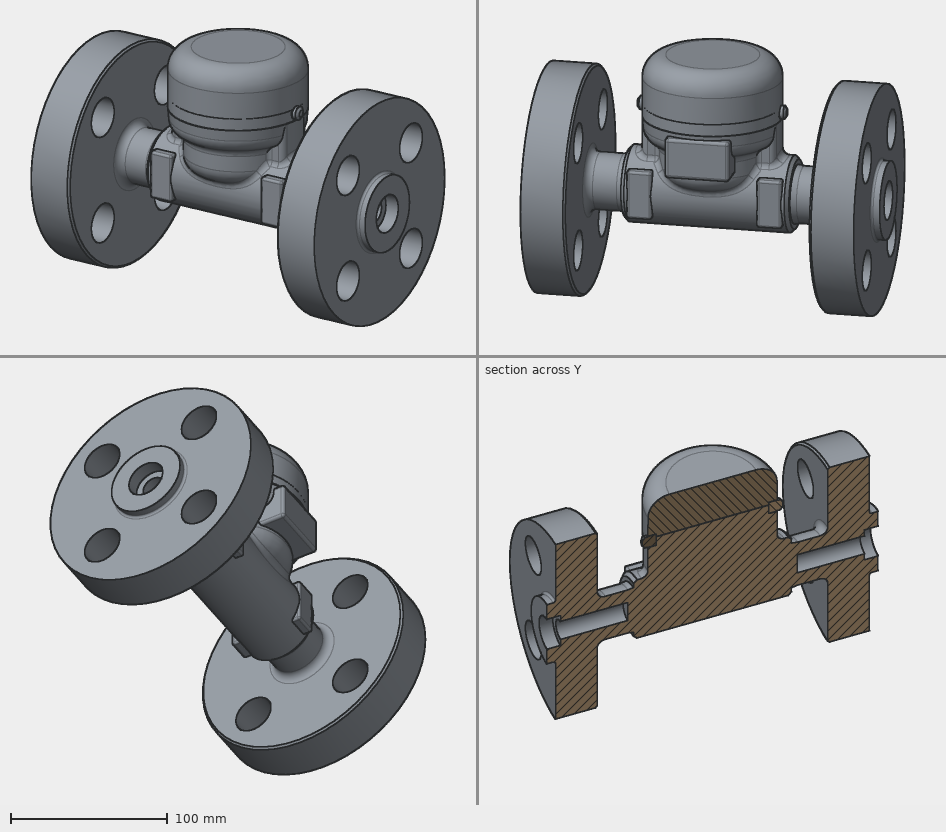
import cadquery as cq
import math

LENGTH = 230.0

FLANGE_DIAMETER = 149.0
FLANGE_OUTER_FACE = 109.0
FLANGE_INNER_FACE = 79.8
FLANGE_EDGE_CHAMFER = 1.4
RAISED_FACE_DIAMETER = 50.8
RAISED_FACE_ROOT = 1.5
BOLT_HOLE_DIAMETER = 26.0
BOLT_CIRCLE_DIAMETER = 101.7
BOLT_COUNT = 4

PIPE_DIAMETER = 37.0
PIPE_FLANGE_FILLET = 5.3
STUB_START = 58.9
STUB_DIAMETER = 38.5
PORT_DIAMETER = 25.0
PORT_DEPTH = 9.5
BORE_DIAMETER = 15.0

BARREL_DIAMETER = 50.0
BARREL_LENGTH = 110.0
BARREL_CHAMFER = 2.5

COVER_DIAMETER = 90.0
COVER_TOP = 90.0
COVER_EDGE_RADIUS = 15.0
JOINT_HEIGHT = 49.2

BOWL_DIAMETER = 88.5
SPIGOT_TOP = 57.0
RIM_BOTTOM = 42.0
BOWL_RADIUS = 9.7
NECK_DIAMETER = 70.0
NECK_TOP = 28.0
NECK_BOTTOM = 17.7
NECK_END_RADIUS = 11.5

COLUMN_WIDTH = 25.8
COLUMN_CORNER_RADIUS = 4.1
COLUMN_NECK_FILLET = 3.5
ROOT_FILLET = 4.5

PAD_CENTRE_X = 42.5
PAD_WIDTH = 16.3
PAD_HEIGHT = 31.7
PAD_FACE_Y = 25.3
PAD_EDGE_FILLET = 1.5

PLATE_WIDTH = 41.9
PLATE_FACE_Y = 46.5
PLATE_BOTTOM = 20.0
PLATE_TOP = 46.5
PLATE_EDGE_FILLET = 2.0

SCREW_DIAMETER = 9.0
SCREW_TIP_DIAMETER = 4.5
SCREW_HEIGHT = 54.3
SCREW_END_X = 48.8
SCREW_TAPER = 1.5
SCREW_INNER_X = 39.0


def along_x(diameter, start, end):
    """Cylinder on the pipe axis."""
    return cq.Workplane("YZ").workplane(offset=start).circle(diameter / 2).extrude(end - start)


def make_pipe_end():
    """Flange, pipe and stub on the +X side, revolved about the pipe axis."""
    pipe_radius = PIPE_DIAMETER / 2
    flange_radius = FLANGE_DIAMETER / 2
    face_radius = RAISED_FACE_DIAMETER / 2
    barrel_end = BARREL_LENGTH / 2
    arc_middle = 1 - math.sqrt(0.5)
    profile = (
        cq.Workplane("XY")
        .moveTo(barrel_end - BARREL_CHAMFER, 0)
        .lineTo(barrel_end - BARREL_CHAMFER, STUB_DIAMETER / 2)
        .lineTo(barrel_end, STUB_DIAMETER / 2)
        .lineTo(STUB_START, pipe_radius)
        .lineTo(FLANGE_INNER_FACE - PIPE_FLANGE_FILLET, pipe_radius)
        .threePointArc(
            (
                FLANGE_INNER_FACE - PIPE_FLANGE_FILLET * arc_middle,
                pipe_radius + PIPE_FLANGE_FILLET * arc_middle,
            ),
            (FLANGE_INNER_FACE, pipe_radius + PIPE_FLANGE_FILLET),
        )
        .lineTo(FLANGE_INNER_FACE, flange_radius - FLANGE_EDGE_CHAMFER)
        .lineTo(FLANGE_INNER_FACE + FLANGE_EDGE_CHAMFER, flange_radius)
        .lineTo(FLANGE_OUTER_FACE, flange_radius)
        .lineTo(FLANGE_OUTER_FACE, face_radius + RAISED_FACE_ROOT)
        .threePointArc(
            (
                FLANGE_OUTER_FACE + RAISED_FACE_ROOT * arc_middle,
                face_radius + RAISED_FACE_ROOT * arc_middle,
            ),
            (FLANGE_OUTER_FACE + RAISED_FACE_ROOT, face_radius),
        )
        .lineTo(LENGTH / 2, face_radius)
        .lineTo(LENGTH / 2, 0)
        .close()
    )
    bolt_holes = (
        cq.Workplane("YZ")
        .workplane(offset=FLANGE_INNER_FACE)
        .polarArray(BOLT_CIRCLE_DIAMETER / 2, 45, 360, BOLT_COUNT)
        .circle(BOLT_HOLE_DIAMETER / 2)
        .extrude(FLANGE_OUTER_FACE - FLANGE_INNER_FACE)
    )
    port = along_x(PORT_DIAMETER, LENGTH / 2 - PORT_DEPTH, LENGTH / 2)
    bore = along_x(BORE_DIAMETER, STUB_START, LENGTH / 2)
    return profile.revolve(360, (0, 0, 0), (1, 0, 0)).cut(bolt_holes).cut(port).cut(bore)


def make_barrel():
    barrel = along_x(BARREL_DIAMETER, -BARREL_LENGTH / 2, BARREL_LENGTH / 2)
    return barrel.faces("<X or >X").chamfer(BARREL_CHAMFER)


def make_bowl():
    """Spigot, rim, rounded bowl and neck that carry the cover, revolved about the cover axis."""
    rim_radius = BOWL_DIAMETER / 2
    neck_radius = NECK_DIAMETER / 2

    convex_x = rim_radius - BOWL_RADIUS
    drop = RIM_BOTTOM - NECK_TOP
    gap = neck_radius - convex_x
    concave_radius = (drop**2 + gap**2 - BOWL_RADIUS**2) / (2 * (BOWL_RADIUS - gap))
    concave_x = neck_radius + concave_radius
    slope = math.atan2(drop, concave_x - convex_x)

    def convex(angle):
        return (convex_x + BOWL_RADIUS * math.cos(angle), RIM_BOTTOM - BOWL_RADIUS * math.sin(angle))

    half_turn = (math.pi - slope) / 2 - math.pi / 2 + slope
    concave_middle = (
        concave_x - concave_radius * math.cos(half_turn),
        NECK_TOP + concave_radius * math.sin(half_turn),
    )
    end_x = neck_radius - NECK_END_RADIUS
    end_middle = NECK_END_RADIUS * math.sqrt(0.5)
    return (
        cq.Workplane("XZ")
        .moveTo(0, SPIGOT_TOP)
        .lineTo(rim_radius, SPIGOT_TOP)
        .lineTo(rim_radius, JOINT_HEIGHT)
        .lineTo(COVER_DIAMETER / 2, JOINT_HEIGHT)
        .lineTo(rim_radius, RIM_BOTTOM)
        .threePointArc(convex(slope / 2), convex(slope))
        .threePointArc(concave_middle, (neck_radius, NECK_TOP))
        .lineTo(neck_radius, NECK_BOTTOM)
        .threePointArc(
            (end_x + end_middle, NECK_BOTTOM - end_middle), (end_x, NECK_BOTTOM - NECK_END_RADIUS)
        )
        .lineTo(0, NECK_BOTTOM - NECK_END_RADIUS)
        .close()
        .revolve(360, (0, 0, 0), (0, 1, 0))
    )


def make_columns():
    """Upright bar through the neck that fills the space under the bowl on both X sides."""
    height = JOINT_HEIGHT - NECK_BOTTOM
    base = cq.Workplane("XY").workplane(offset=NECK_BOTTOM)
    outline = base.circle(COVER_DIAMETER / 2).extrude(height)
    bar = base.rect(COVER_DIAMETER, COLUMN_WIDTH).extrude(height).intersect(outline)
    bar = bar.edges("|Z").fillet(COLUMN_CORNER_RADIUS)
    neck = base.circle(NECK_DIAMETER / 2).extrude(height)
    columns = bar.union(neck)

    half_width = COLUMN_WIDTH / 2
    meeting_x = math.sqrt((NECK_DIAMETER / 2) ** 2 - half_width**2)
    for x in (-meeting_x, meeting_x):
        for y in (-half_width, half_width):
            meeting_line = cq.selectors.NearestToPointSelector((x, y, NECK_BOTTOM + height / 2))
            columns = columns.edges(meeting_line).fillet(COLUMN_NECK_FILLET)
    return columns


def make_pads():
    """Two rectangular bars through the barrel, giving four flat pads on its sides."""
    pads = (
        cq.Workplane("XY")
        .pushPoints([(-PAD_CENTRE_X, 0), (PAD_CENTRE_X, 0)])
        .box(PAD_WIDTH, 2 * PAD_FACE_Y, PAD_HEIGHT)
    )
    return pads.edges("|Y or <Y or >Y").fillet(PAD_EDGE_FILLET)


def make_plate():
    """Flat name-plate block on the +Y side."""
    plate = cq.Workplane("XY").box(
        PLATE_WIDTH, PLATE_FACE_Y, PLATE_TOP - PLATE_BOTTOM, centered=(True, False, False)
    )
    return plate.translate((0, 0, PLATE_BOTTOM)).edges("|Y or >Y").fillet(PLATE_EDGE_FILLET)


def make_body(screw_bodies):
    core = make_barrel().union(make_bowl()).union(make_columns())
    barrel_radius = BARREL_DIAMETER / 2
    root_region = cq.selectors.BoxSelector(
        (-COVER_DIAMETER / 2 - 2.3, -barrel_radius, 2.3),
        (COVER_DIAMETER / 2 + 2.3, barrel_radius, barrel_radius + 0.2),
        boundingbox=True,
    )
    core = core.edges(root_region).fillet(ROOT_FILLET)
    body = core.union(make_plate()).union(make_pads())
    pipe_end = make_pipe_end()
    body = body.union(pipe_end).union(pipe_end.mirror("YZ"))
    for screw in screw_bodies:
        body = body.cut(screw)
    return body


def make_screw(side):
    """Set screw pointing outwards; side is +1 for +X and -1 for -X."""
    screw_radius = SCREW_DIAMETER / 2
    screw = (
        cq.Workplane("XY")
        .moveTo(SCREW_INNER_X, 0)
        .lineTo(SCREW_INNER_X, screw_radius)
        .lineTo(SCREW_END_X - SCREW_TAPER, screw_radius)
        .lineTo(SCREW_END_X, SCREW_TIP_DIAMETER / 2)
        .lineTo(SCREW_END_X, 0)
        .close()
        .revolve(360, (0, 0, 0), (1, 0, 0))
        .translate((0, 0, SCREW_HEIGHT))
    )
    return screw if side > 0 else screw.mirror("YZ")


def make_cover(screw_bodies):
    cover = (
        cq.Workplane("XY")
        .workplane(offset=JOINT_HEIGHT)
        .circle(COVER_DIAMETER / 2)
        .extrude(COVER_TOP - JOINT_HEIGHT)
        .faces(">Z")
        .edges()
        .fillet(COVER_EDGE_RADIUS)
    )
    spigot_recess = (
        cq.Workplane("XY")
        .workplane(offset=JOINT_HEIGHT)
        .circle(BOWL_DIAMETER / 2)
        .extrude(SPIGOT_TOP - JOINT_HEIGHT)
    )
    cover = cover.cut(spigot_recess)
    for screw in screw_bodies:
        cover = cover.cut(screw)
    return cover


screws = [make_screw(side) for side in (-1, 1)]
body = make_body(screws)
cover = make_cover(screws)

result = cq.Compound.makeCompound([body.val(), cover.val(), *[screw.val() for screw in screws]])